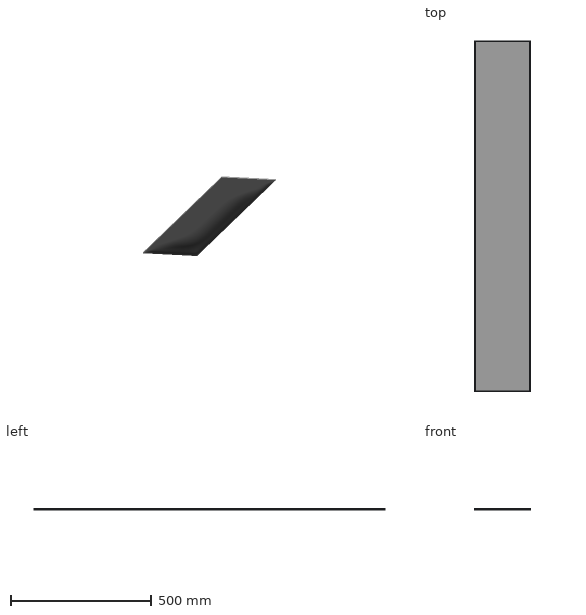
import cadquery as cq

width = 197.0
length = 1250.0
thickness = 4.0

result = cq.Workplane("XY").box(width, length, thickness)